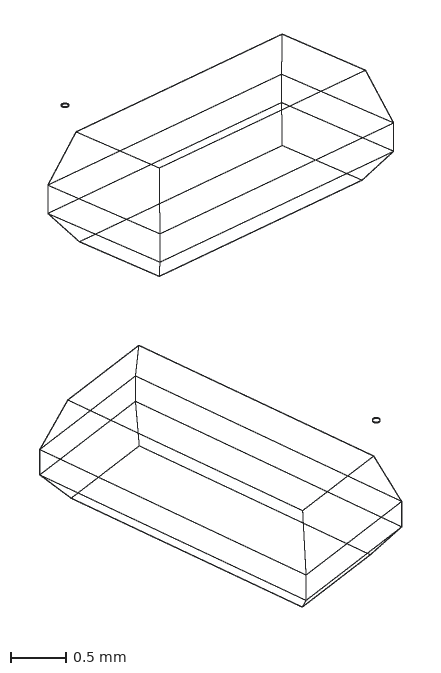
import cadquery as cq

body_width = 1.4
body_length = 3.05
belt_bottom = 0.29
belt_top = 0.575
body_height = 1.113
top_inset = 0.18
bottom_inset = 0.2

marker_diameter = 0.07
marker_thickness = 0.01
marker_top = 1.12
marker_to_body_center = 0.253
marker_from_front = 0.49


def body_section(z, inset):
    """Rectangular outline of the body at height z, drawn in by inset on every side."""
    return cq.Wire.makePolygon(
        [
            cq.Vector(inset, inset, z),
            cq.Vector(body_width - inset, inset, z),
            cq.Vector(body_width - inset, body_length - inset, z),
            cq.Vector(inset, body_length - inset, z),
        ],
        close=True,
    )


def make_package_body():
    """One solid: lower taper, straight belt and upper taper."""
    sections = [
        body_section(0, bottom_inset),
        body_section(belt_bottom, 0),
        body_section(belt_top, 0),
        body_section(body_height, top_inset),
    ]
    return cq.Solid.makeLoft(sections, True)


def make_marker():
    """Flat disc standing clear of the left side of the body."""
    return (
        cq.Workplane("XY", origin=(-marker_to_body_center, marker_from_front, marker_top - marker_thickness))
        .circle(marker_diameter / 2)
        .extrude(marker_thickness)
    )


package_body = make_package_body()
marker = make_marker()

result = cq.Compound.makeCompound([package_body, marker.val()])